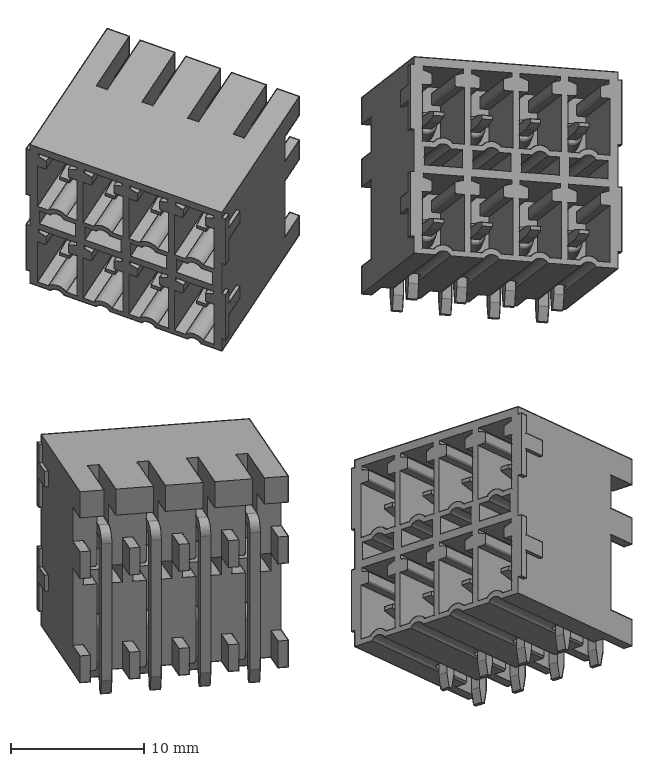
import cadquery as cq
import math


columns = 4
tiers = 2
column_pitch = 3.8
tier_pitch = 8.28
leg_row_pitch = column_pitch
column_xs = [(i - (columns - 1) / 2) * column_pitch for i in range(columns)]
tier_zs = [i * tier_pitch for i in range(tiers)]

housing_width = 16.03
housing_depth = 13.3
housing_height = 15.2

cavity_half_width = 1.65
cavity_depth = 6.01
cavity_floor = 0.43
cavity_top = 6.23
keyway_half_width = 1.59
tab_half_gap = 0.92
tab_bottom = 4.83
tab_top_inner = 5.71
tab_top_outer = 5.95
tab_corner_radius = 0.13

ridge_height = 0.37
ridge_half_width = 0.75
groove_height = 0.33
groove_half_width = 0.57

boss_base_radius = 1.15
boss_top_radius = 0.84
boss_height = 1.67
boss_edge_radius = 0.17

window_width = 3.0
window_bottom = 6.88
window_top = tier_pitch

rear_depth = 2.44
fin_height = 2.14
top_plate_bottom = 13.13
slot_width = 0.9
slot_front = 7.63

rib_thickness = 0.3
rib_bottom = 1.32
rib_top = 6.31
rib_strip_depth = 0.58
rib_tongue_bottom = 3.6
rib_tongue_top = 4.86
rib_tongue_depth = 2.49

pin_size = 0.8
pin_tip_size = 0.3
pin_taper_length = 1.14
pin_front = 1.2
pin_axis_z = 2.95
pin_bend_radius = 1.14
pin_leg_length = 1.5
front_leg_y = 7.97
half_pin = pin_size / 2
half_tip = pin_tip_size / 2
bend_front_y = front_leg_y + half_pin - pin_bend_radius

rear_face = housing_depth - rear_depth


def box(x_range, y_range, z_range):
    """Axis-aligned block between the given limits."""
    (x0, x1), (y0, y1), (z0, z1) = x_range, y_range, z_range
    return cq.Workplane("XY").box(x1 - x0, y1 - y0, z1 - z0, centered=False).translate((x0, y0, z0))


def facing(x, y, z):
    """Workplane with local axes X and Z whose positive extrusion runs forward (-Y)."""
    return cq.Workplane(cq.Plane(origin=(x, y, z), xDir=(1, 0, 0), normal=(0, -1, 0)))


def boss(x, axis_z):
    """Tapered round boss with a rounded rim, standing forward from the cavity back wall."""
    half_angle = math.degrees(math.atan2(boss_base_radius - boss_top_radius, boss_height))
    return (
        facing(x, cavity_depth, axis_z)
        .circle(boss_base_radius)
        .extrude(boss_height, taper=half_angle)
        .faces("<Y")
        .edges()
        .fillet(boss_edge_radius)
    )


def cavity(x, z):
    """Mating cavity with two keying tabs and a ridged floor; the boss is left standing."""
    outline = (
        facing(x, 0, z)
        .moveTo(-cavity_half_width, cavity_floor)
        .lineTo(-ridge_half_width, cavity_floor)
        .threePointArc((0, cavity_floor + ridge_height), (ridge_half_width, cavity_floor))
        .lineTo(cavity_half_width, cavity_floor)
        .lineTo(cavity_half_width, tab_bottom)
        .lineTo(tab_half_gap, tab_bottom)
        .lineTo(tab_half_gap, tab_top_inner)
        .lineTo(keyway_half_width, tab_top_outer)
        .lineTo(keyway_half_width, cavity_top)
        .lineTo(-keyway_half_width, cavity_top)
        .lineTo(-keyway_half_width, tab_top_outer)
        .lineTo(-tab_half_gap, tab_top_inner)
        .lineTo(-tab_half_gap, tab_bottom)
        .lineTo(-cavity_half_width, tab_bottom)
        .close()
        .extrude(-cavity_depth)
    )
    tab_lower_corners = cq.selectors.BoxSelector(
        (x - tab_half_gap - tab_corner_radius, 0, z + tab_bottom - tab_corner_radius),
        (x + tab_half_gap + tab_corner_radius, cavity_depth, z + tab_bottom + tab_corner_radius),
    )
    rounded = outline.edges("|Y").edges(tab_lower_corners).fillet(tab_corner_radius)
    return rounded.cut(boss(x, z + pin_axis_z))


def groove(x, z):
    """Arched groove running front to rear under a cavity floor."""
    return (
        facing(x, 0, z)
        .moveTo(-groove_half_width, 0)
        .threePointArc((0, groove_height), (groove_half_width, 0))
        .close()
        .extrude(-housing_depth)
    )


def pin_hole(x, z):
    """Square passage for a pin through its boss and the wall behind it."""
    axis_z = z + pin_axis_z
    return box(
        (x - half_pin, x + half_pin),
        (cavity_depth - boss_height, slot_front),
        (axis_z - half_pin, axis_z + half_pin),
    )


def bend_pocket(x):
    """Pocket ahead of the slot, open at the base, that clears the bend of a lower-tier pin."""
    return box(
        (x - slot_width / 2, x + slot_width / 2),
        (bend_front_y, slot_front),
        (0, pin_axis_z + half_pin),
    )


def latch_ribs(z):
    """List of the two T-shaped ribs, one on each side wall, for one tier."""
    half_span = housing_width / 2 + rib_thickness
    ribs = []
    for x_range in [(-half_span, -housing_width / 2), (housing_width / 2, half_span)]:
        strip = box(x_range, (0, rib_strip_depth), (z + rib_bottom, z + rib_top))
        tongue = box(x_range, (0, rib_tongue_depth), (z + rib_tongue_bottom, z + rib_tongue_top))
        ribs.append(strip.union(tongue))
    return ribs


def make_housing():
    half_width = housing_width / 2
    body = box((-half_width, half_width), (0, housing_depth), (0, housing_height))

    notch_tops = [z + tier_pitch for z in tier_zs[:-1]] + [top_plate_bottom]
    for z, notch_top in zip(tier_zs, notch_tops):
        body = body.cut(
            box((-half_width, half_width), (rear_face, housing_depth), (z + fin_height, notch_top))
        )

    for x in column_xs:
        window_x = (x - window_width / 2, x + window_width / 2)
        slot_x = (x - slot_width / 2, x + slot_width / 2)
        body = body.cut(box(window_x, (rear_face, housing_depth), (0, top_plate_bottom)))
        body = body.cut(box(window_x, (0, housing_depth), (window_bottom, window_top)))
        body = body.cut(box(slot_x, (slot_front, housing_depth), (0, housing_height)))
        body = body.cut(bend_pocket(x))
        for z in tier_zs:
            body = body.cut(cavity(x, z)).cut(groove(x, z)).cut(pin_hole(x, z))

    for z in tier_zs:
        for rib in latch_ribs(z):
            body = body.union(rib)
    return body


def make_pin(x, axis_z, leg_y):
    """Square pin bent down at a right angle, with both ends tapered to a chisel tip."""
    top = axis_z + half_pin
    underside = axis_z - half_pin
    leg_rear = leg_y + half_pin
    leg_front = leg_y - half_pin
    bend_y = leg_rear - pin_bend_radius
    bend_z = top - pin_bend_radius
    inner_radius = pin_bend_radius - pin_size
    diagonal = math.sqrt(0.5)
    tip_taper_y = pin_front + pin_taper_length
    leg_tip_z = -pin_leg_length
    leg_taper_z = leg_tip_z + pin_taper_length
    return (
        cq.Workplane("YZ", origin=(x, 0, 0))
        .moveTo(pin_front, axis_z + half_tip)
        .lineTo(tip_taper_y, top)
        .lineTo(bend_y, top)
        .threePointArc(
            (bend_y + pin_bend_radius * diagonal, bend_z + pin_bend_radius * diagonal),
            (leg_rear, bend_z),
        )
        .lineTo(leg_rear, leg_taper_z)
        .lineTo(leg_y + half_tip, leg_tip_z)
        .lineTo(leg_y - half_tip, leg_tip_z)
        .lineTo(leg_front, leg_taper_z)
        .lineTo(leg_front, bend_z)
        .threePointArc(
            (bend_y + inner_radius * diagonal, bend_z + inner_radius * diagonal),
            (bend_y, underside),
        )
        .lineTo(tip_taper_y, underside)
        .lineTo(pin_front, axis_z - half_tip)
        .close()
        .extrude(half_pin, both=True)
    )


housing = make_housing()

pins = []
for tier, z in enumerate(tier_zs):
    for x in column_xs:
        pins.append(make_pin(x, z + pin_axis_z, front_leg_y + tier * leg_row_pitch))

result = cq.Compound.makeCompound([housing.solids().val(), *[pin.val() for pin in pins]])